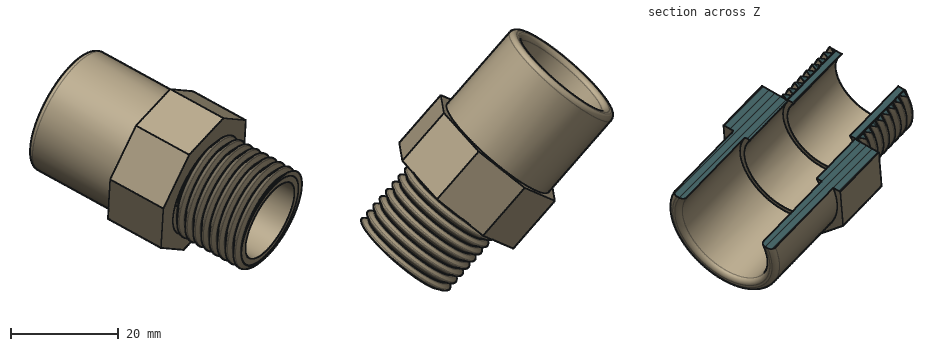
import cadquery as cq
import math

socket_length = 19.0
nut_length = 12.0
spigot_length = 15.0
nut_end = socket_length + nut_length
fitting_end = nut_end + spigot_length

socket_diameter = 25.0
socket_bore = 20.0
rim_fillet = 1.0
nut_bore = 18.0
nut_across_flats = 27.0
nut_sides = 8
nut_corner_angle = 18.57
spigot_diameter = 18.59
spigot_bore = 15.96

thread_pitch = 25.4 / 14
crest_diameter = 20.955
thread_depth = 0.640327 * thread_pitch
rounding_radius = 0.137329 * thread_pitch
flank_angle = math.radians(27.5)
root_gap = 0.06
trim_allowance = 0.3
trim_overrun = 1.0
crest_x_at_top = 44.65


def cylinder(diameter, start, end):
    """Solid cylinder on the X axis between two X positions."""
    return cq.Workplane("YZ", origin=(start, 0, 0)).circle(diameter / 2).extrude(end - start)


def make_socket():
    """Pipe socket with both edges of its mouth rounded."""
    socket = cylinder(socket_diameter, 0, socket_length)
    socket = socket.cut(cylinder(socket_bore, 0, socket_length))
    return socket.faces("<X").edges().fillet(rim_fillet)


def make_nut():
    """Octagonal nut whose narrower bore leaves a stop for the pipe."""
    corner_diameter = nut_across_flats / math.cos(math.pi / nut_sides)
    nut = (
        cq.Workplane("YZ", origin=(socket_length, 0, 0))
        .polygon(nut_sides, corner_diameter)
        .extrude(nut_length)
        .rotate((0, 0, 0), (1, 0, 0), nut_corner_angle)
    )
    return nut.cut(cylinder(nut_bore, socket_length, nut_end))


def make_spigot():
    """Plain tube under the thread."""
    spigot = cylinder(spigot_diameter, nut_end, fitting_end)
    return spigot.cut(cylinder(spigot_bore, nut_end, fitting_end))


def thread_section():
    """Section of one turn as (radius, offset along the axis), mirrored about its crest."""
    crest_radius = crest_diameter / 2
    crest_centre = crest_radius - rounding_radius
    root_centre = crest_radius - thread_depth + rounding_radius
    half_pitch = thread_pitch / 2
    half_gap = root_gap / 2

    def on_crest(angle):
        """Point of the crest rounding, with the angle measured from the axial direction."""
        return (
            crest_centre + rounding_radius * math.sin(angle),
            rounding_radius * math.cos(angle),
        )

    def on_root(angle):
        """Point of the root rounding, with the angle measured from the axial direction."""
        return (
            root_centre - rounding_radius * math.sin(angle),
            half_pitch - rounding_radius * math.cos(angle),
        )

    def mirrored(point):
        return (point[0], -point[1])

    crest_apex_angle = math.pi / 2
    root_end_angle = math.acos(half_gap / rounding_radius)
    apex = on_crest(crest_apex_angle)
    crest_middle = on_crest((flank_angle + crest_apex_angle) / 2)
    flank_top = on_crest(flank_angle)
    flank_bottom = on_root(flank_angle)
    root_middle = on_root((flank_angle + root_end_angle) / 2)
    root_end = on_root(root_end_angle)
    base = (spigot_diameter / 2 - trim_allowance, root_end[1])

    return (
        cq.Workplane("XZ")
        .moveTo(*apex)
        .threePointArc(crest_middle, flank_top)
        .lineTo(*flank_bottom)
        .threePointArc(root_middle, root_end)
        .lineTo(*base)
        .lineTo(*mirrored(base))
        .lineTo(*mirrored(root_end))
        .threePointArc(mirrored(root_middle), mirrored(flank_bottom))
        .lineTo(*mirrored(flank_top))
        .threePointArc(mirrored(crest_middle), apex)
        .close()
    )


def make_body():
    """Socket, nut and spigot in one piece."""
    return make_socket().union(make_nut()).union(make_spigot())


def make_thread():
    """Right-hand helical ridge around the spigot, trimmed to the spigot's length and surface."""
    turns_past_top_crest = 2
    turns = math.ceil(spigot_length / thread_pitch) + turns_past_top_crest + 1
    helix = cq.Wire.makeHelix(thread_pitch, turns * thread_pitch, spigot_diameter / 2)
    ridge = thread_section().sweep(cq.Workplane(obj=helix), isFrenet=True)

    ridge = ridge.rotate((0, 0, 0), (0, 1, 0), 90).rotate((0, 0, 0), (1, 0, 0), 180)
    ridge = ridge.translate((crest_x_at_top - (turns - turns_past_top_crest) * thread_pitch, 0, 0))
    ridge = ridge.intersect(cylinder(socket_diameter, nut_end, fitting_end))
    return ridge.cut(cylinder(spigot_diameter, nut_end - trim_overrun, fitting_end + trim_overrun))


body = make_body()
thread = make_thread()

result = cq.Compound.makeCompound([*body.solids().vals(), *thread.solids().vals()])